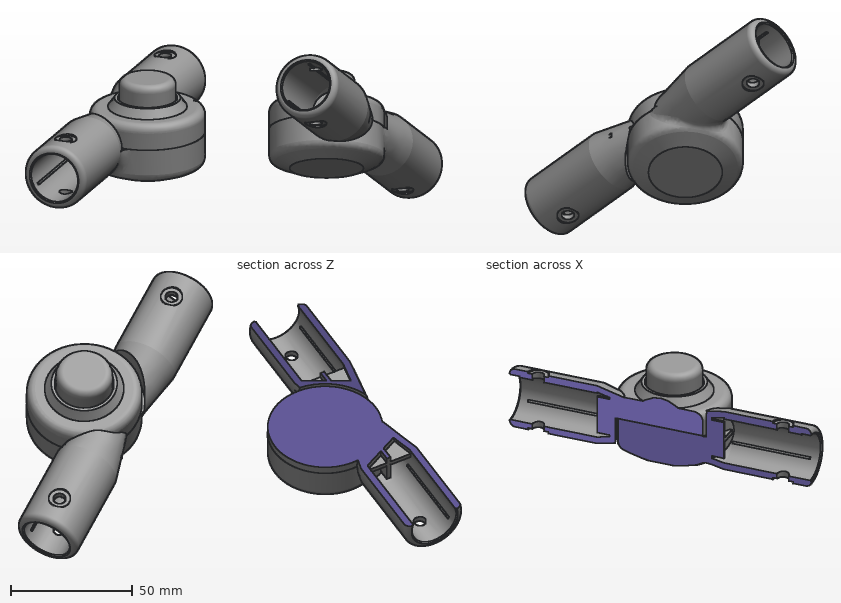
import cadquery as cq
import math


LENGTH = 136.0
OVERALL_WIDTH = 51.5
MARGIN = 13.6

HUB_RADIUS = 23.8
CAP_HEIGHT = 10.7
CAP_FILLET = 3.5
NECK_BASE_RADIUS = 16.3
NECK_TOP_RADIUS = 13.6
NECK_TOP = 14.5
HUB_BOTTOM = -16.6
BOTTOM_FLAT_RADIUS = 15.2
BOTTOM_CONE_HEIGHT = 3.4
BOTTOM_FILLET = 3.4

BUTTON_RADIUS = 11.7
BUTTON_TOP = 23.3
BUTTON_FILLET = 3.0
RECESS_RADIUS = 12.2

TUBE_DIAMETER = 27.0
TUBE_RADIUS = TUBE_DIAMETER / 2
TUBE_X = TUBE_RADIUS - (OVERALL_WIDTH - HUB_RADIUS)
TUBE_END = LENGTH / 2
TAPER_START = 28.5
MOUTH_FILLET = 2.6
BORE_RADIUS = 10.3
MOUTH_CHAMFER = 0.5
UPPER_ARM_TAPER = 0.24
LOWER_ARM_TAPER = 0.17
UPPER_CLEARANCE_RADIUS = 24.8
LOWER_CLEARANCE_RADIUS = 25.0
ARM_BLEND = 3.4

FLOOR_ANGLE = 28.0
RIB_THICKNESS = 1.9
RIB_REACH = 8.5
RIB_OUTER_REACH = 11.2
RIB_END = 17.7

GRIP_RIB_RADIUS = 0.48
GRIP_RIB_COUNT = 3
GRIP_RIB_SETBACK = 4.5

SCREW_Y = 55.1
SCREW_RADIUS = 2.6
SPOTFACE_RADIUS = 4.5
SPOTFACE_Z = 12.8


def disc(radius, bottom, top):
    """Plain cylinder about the swivel axis."""
    return cq.Workplane("XY").workplane(offset=bottom).circle(radius).extrude(top - bottom)


def turned(points):
    """Solid of revolution about the swivel axis from (radius, z) points."""
    return cq.Workplane("XZ").polyline(points).close().revolve(360, (0, 0, 0), (0, 1, 0))


def along_tube(points):
    """Solid of revolution about the tube axis from (distance along +Y, radius) points."""
    profile = cq.Workplane("YZ").polyline(points).close()
    return profile.revolve(360, (0, 0, 0), (1, 0, 0)).translate((TUBE_X, 0, 0))


def to_minus_y(body):
    """Turn a shape made for the +Y socket into the one for the -Y socket."""
    return body.mirror("XZ")



def tapered_arm(taper):
    """Outside of a socket, narrowing as a cone towards the swivel axis."""
    arm = along_tube([
        (0, 0),
        (0, TUBE_RADIUS - taper * TAPER_START),
        (TAPER_START, TUBE_RADIUS),
        (TUBE_END, TUBE_RADIUS),
        (TUBE_END, 0),
    ])
    return arm.faces(">Y").edges().fillet(MOUTH_FILLET)


def rib_cross():
    """Two crossed plates from the start of the taper inwards."""
    length = TAPER_START - RIB_END
    middle_y = (TAPER_START + RIB_END) / 2
    flat_plate = cq.Workplane("XY").box(RIB_OUTER_REACH + RIB_REACH, length, RIB_THICKNESS)
    flat_plate = flat_plate.translate(((RIB_REACH - RIB_OUTER_REACH) / 2, 0, 0))
    upright_plate = cq.Workplane("XY").box(RIB_THICKNESS, length, 2 * RIB_REACH)
    return flat_plate.union(upright_plate).translate((TUBE_X, middle_y, 0))


def floor_block():
    """Material under the sloping bore floor, which meets the end of the straight bore on +X."""
    slope = math.tan(math.radians(FLOOR_ANGLE))
    left = TUBE_X - TUBE_RADIUS
    right = TUBE_X + BORE_RADIUS
    left_y = TAPER_START - (right - left) * slope
    outline = cq.Workplane("XY").workplane(offset=-TUBE_RADIUS).polyline([
        (left, 0),
        (right, 0),
        (right, TAPER_START),
        (left, left_y),
    ])
    return outline.close().extrude(2 * TUBE_RADIUS)


def grip_rib(angle):
    """Thin round bar along the bore wall, at an angle from +X towards +Z."""
    start = cq.Vector(
        TUBE_X + BORE_RADIUS * math.cos(angle),
        TAPER_START,
        BORE_RADIUS * math.sin(angle),
    )
    length = TUBE_END - GRIP_RIB_SETBACK - TAPER_START
    return cq.Workplane(cq.Solid.makeCylinder(GRIP_RIB_RADIUS, length, start, cq.Vector(0, 1, 0)))


def bore(taper):
    """Hollow of a socket, with the material of its ribs left out."""
    hollow = along_tube([
        (0, 0),
        (0, BORE_RADIUS - taper * TAPER_START),
        (TAPER_START, BORE_RADIUS),
        (TUBE_END - MOUTH_CHAMFER, BORE_RADIUS),
        (TUBE_END, BORE_RADIUS + MOUTH_CHAMFER),
        (TUBE_END, 0),
    ])
    hollow = hollow.cut(floor_block()).cut(rib_cross())
    for index in range(GRIP_RIB_COUNT):
        angle = math.pi / 2 + index * 2 * math.pi / GRIP_RIB_COUNT
        hollow = hollow.cut(grip_rib(angle))
    return hollow


def screw_hole():
    """Hole across a socket with a flat spotface at each end."""
    cutter = cq.Workplane("XY").circle(SCREW_RADIUS).extrude(TUBE_DIAMETER, both=True)
    for side in (1, -1):
        flat = cq.Workplane("XY").workplane(offset=side * SPOTFACE_Z)
        cutter = cutter.union(flat.circle(SPOTFACE_RADIUS).extrude(side * TUBE_RADIUS))
    return cutter.translate((TUBE_X, SCREW_Y, 0))


def socket_cuts(taper):
    return bore(taper).union(screw_hole())



def make_upper():
    cap = disc(HUB_RADIUS, 0, CAP_HEIGHT).faces(">Z").edges().fillet(CAP_FILLET)
    neck = turned([
        (0, 0),
        (NECK_BASE_RADIUS, 0),
        (NECK_BASE_RADIUS, CAP_HEIGHT),
        (NECK_TOP_RADIUS, NECK_TOP),
        (0, NECK_TOP),
    ])
    clearance = disc(UPPER_CLEARANCE_RADIUS, HUB_BOTTOM - MARGIN, 0)
    arm = tapered_arm(UPPER_ARM_TAPER).cut(clearance)
    ribs = rib_cross().cut(clearance)
    recess = disc(RECESS_RADIUS, CAP_HEIGHT, NECK_TOP)
    body = cap.union(arm).union(neck).union(ribs)
    return body.cut(socket_cuts(UPPER_ARM_TAPER)).cut(recess)



def make_base():
    """Lower hub half, carried up past the arm so that the seam with the arm is complete."""
    rim_z = HUB_BOTTOM + BOTTOM_CONE_HEIGHT
    top = TUBE_RADIUS + MARGIN
    base = turned([
        (0, HUB_BOTTOM),
        (BOTTOM_FLAT_RADIUS, HUB_BOTTOM),
        (HUB_RADIUS, rim_z),
        (HUB_RADIUS, top),
        (0, top),
    ])
    rim = cq.selectors.NearestToPointSelector((0, 0, rim_z))
    return base.edges("%CIRCLE").edges(rim).fillet(BOTTOM_FILLET)


def make_lower():
    arm = to_minus_y(tapered_arm(LOWER_ARM_TAPER))
    seam = cq.selectors.BoxSelector(
        (-HUB_RADIUS, -HUB_RADIUS, -TUBE_RADIUS),
        (TUBE_X + TUBE_RADIUS, -HUB_RADIUS / 2, CAP_HEIGHT),
    )
    blended = make_base().union(arm).edges(seam).fillet(ARM_BLEND)
    above_parting = disc(LENGTH, 0, LENGTH)
    arm_top = arm.intersect(above_parting).cut(disc(LOWER_CLEARANCE_RADIUS, 0, LENGTH))
    body = blended.cut(above_parting).union(arm_top)
    return body.cut(to_minus_y(socket_cuts(LOWER_ARM_TAPER)))



def make_button():
    return disc(BUTTON_RADIUS, CAP_HEIGHT, BUTTON_TOP).faces(">Z").edges().fillet(BUTTON_FILLET)


upper = make_upper()
lower = make_lower()
button = make_button()
result = cq.Compound.makeCompound([
    upper.solids().val(),
    lower.solids().val(),
    button.solids().val(),
])